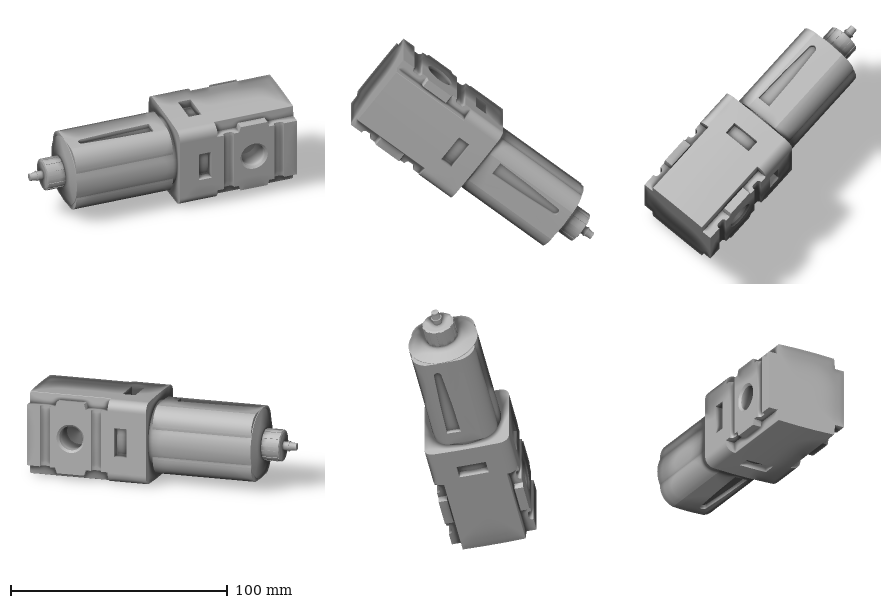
import cadquery as cq
import math


HOUSING_LENGTH = 57.9
WIDTH = 40.0
HALF_WIDTH = WIDTH / 2
CROWN_TOP = 20.0
CROWN_EDGE = 19.6
CORNER_X = 15.6
CORNER_Z = 14.9
CORNER_RADIUS = 4.6
BACK_LENGTH = 39.3
SHOULDER_Z = 14.5
CORE_BASE_X = 15.4
CORE_TOP_X = 14.9
CORE_EDGE_FILLET = 0.2

PORT_STATION = 21.2
PORT_DIAMETER = 11.5
PORT_MOUTH_DIAMETER = 13.5
PORT_CHAMFER = 1.0
PORT_DEPTH = 12.5
DRILL_POINT_ANGLE = 118.0
TONGUE_TIP_Z = 17.1
TONGUE_BASE_HALF = 7.5
TONGUE_TIP_HALF = 6.6
TONGUE_THICKNESS = 4.1
GROOVE_SPACING = 24.8
GROOVE_WIDTH = 4.9
GROOVE_DEPTH = 1.9
GROOVE_FILLET = 1.5

WINDOW_START = 42.3
WINDOW_END = 48.5
WINDOW_HALF = 7.0
WINDOW_FLOOR = 16.0
WINDOW_COUNT = 4

BOWL_RADIUS = 16.3
BOWL_START = 42.9
COLLAR_RADIUS = 17.1
SLEEVE_START = 59.5
SLEEVE_END = 107.3
BARREL_END = 107.6
CONE_END = 109.5
CONE_TIP_RADIUS = 7.9
SLEEVE_TOP_Z = 16.5
SLEEVE_EDGE_X = 8.1
SLEEVE_EDGE_Z = 16.2
SLEEVE_SIDE_X = 15.0
SLEEVE_SIDE_Z = 7.7
SLEEVE_CORNER_RADIUS = 9.0

SLOT_START = 66.0
SLOT_ROUND_STATION = 100.3
SLOT_AXIS_X = 4.1
SLOT_WIDE_HALF = 3.2
SLOT_TIP_RADIUS = 1.7
SLOT_BOW = 0.2
SLOT_FLOOR_Z = 14.2
SLOT_COUNT = 2

KNOB_END = 118.4
RIB_RADIUS = 7.5
KNOB_FACE_RADIUS = 6.4
KNOB_CORE_RADIUS = 7.2
KNOB_BEVEL = 0.4
RIB_COUNT = 12
NIPPLE_SHAFT_DIAMETER = 4.1
BARB_DIAMETER = 4.9
BARB_START = 121.0
BARB_END = 121.4
TIP_START = 123.7
TIP_DIAMETER = 3.5
OVERALL_LENGTH = 124.8


def section_plane(station):
    """Plane across the unit at a station; extruding runs towards the nipple."""
    return cq.Workplane("XZ", origin=(0, -station, 0))


def disc(start, end, radius):
    return section_plane(start).circle(radius).extrude(end - start)


def rotated_copies(shape, count):
    """Equally spaced copies around the long axis."""
    return [shape.rotate((0, 0, 0), (0, 1, 0), i * 360 / count) for i in range(count)]


def both_sides(shape):
    return [shape, shape.mirror("YZ")]


def crowned_outline(plane, edge_x, edge_z, top_z, side_x, side_z, radius):
    """Four-cornered outline with bulged top and bottom and rounded corners."""
    return (
        plane.moveTo(-edge_x, edge_z)
        .threePointArc((0, top_z), (edge_x, edge_z))
        .radiusArc((side_x, side_z), radius)
        .lineTo(side_x, -side_z)
        .radiusArc((edge_x, -edge_z), radius)
        .threePointArc((0, -top_z), (-edge_x, -edge_z))
        .radiusArc((-side_x, -side_z), radius)
        .lineTo(-side_x, side_z)
        .radiusArc((-edge_x, edge_z), radius)
        .close()
    )


def crowned_block(start, end):
    outline = crowned_outline(
        section_plane(start), CORNER_X, CROWN_EDGE, CROWN_TOP, HALF_WIDTH, CORNER_Z, CORNER_RADIUS,
    )
    return outline.extrude(end - start)


def housing_back_block():
    """Drafted core with soft long edges, on a wider flange that forms the shoulders."""
    draft_envelope = (
        section_plane(0)
        .polyline([
            (-CORE_TOP_X, CROWN_TOP),
            (CORE_TOP_X, CROWN_TOP),
            (CORE_BASE_X, SHOULDER_Z),
            (CORE_BASE_X, -SHOULDER_Z),
            (CORE_TOP_X, -CROWN_TOP),
            (-CORE_TOP_X, -CROWN_TOP),
            (-CORE_BASE_X, -SHOULDER_Z),
            (-CORE_BASE_X, SHOULDER_Z),
        ])
        .close()
        .extrude(BACK_LENGTH)
    )
    core = crowned_block(0, BACK_LENGTH).intersect(draft_envelope)
    for outermost in (">Z", "<Z"):
        core = core.edges("|Y").edges(outermost).fillet(CORE_EDGE_FILLET)
    flange = section_plane(0).rect(2 * HALF_WIDTH, 2 * SHOULDER_Z).extrude(BACK_LENGTH)
    return core.union(flange)


def tongue_plate():
    """Plate on the +X side whose tapered tongues stand above and below the shoulders."""
    upper = [
        (-PORT_STATION - TONGUE_BASE_HALF, SHOULDER_Z),
        (-PORT_STATION - TONGUE_TIP_HALF, TONGUE_TIP_Z),
        (-PORT_STATION + TONGUE_TIP_HALF, TONGUE_TIP_Z),
        (-PORT_STATION + TONGUE_BASE_HALF, SHOULDER_Z),
    ]
    lower = [(y, -z) for y, z in reversed(upper)]
    inner_face = cq.Workplane("YZ", origin=(HALF_WIDTH - TONGUE_THICKNESS, 0, 0))
    return inner_face.polyline(upper + lower).close().extrude(TONGUE_THICKNESS)


def clamp_groove(station):
    """Vertical groove in the +X face with rounded bottom edges."""
    return (
        cq.Workplane("XY")
        .box(2 * GROOVE_DEPTH, GROOVE_WIDTH, 2 * SHOULDER_Z)
        .edges("|Z and <X")
        .fillet(GROOVE_FILLET)
        .translate((HALF_WIDTH, -station, 0))
    )


def port():
    """Drilled port entering from the +X face, as a revolved cutter."""
    radius = PORT_DIAMETER / 2
    bottom_x = HALF_WIDTH - PORT_DEPTH
    point_x = bottom_x - radius / math.tan(math.radians(DRILL_POINT_ANGLE / 2))
    return (
        cq.Workplane("XY", origin=(0, -PORT_STATION, 0))
        .moveTo(point_x, 0)
        .lineTo(bottom_x, radius)
        .lineTo(HALF_WIDTH - PORT_CHAMFER, radius)
        .lineTo(HALF_WIDTH, PORT_MOUTH_DIAMETER / 2)
        .lineTo(HALF_WIDTH, 0)
        .close()
        .revolve(360, (0, 0, 0), (1, 0, 0))
    )


def window():
    """Rectangular opening in the top face, down to its flat floor."""
    return (
        cq.Workplane("XY", origin=(0, -(WINDOW_START + WINDOW_END) / 2, WINDOW_FLOOR))
        .rect(2 * WINDOW_HALF, WINDOW_END - WINDOW_START)
        .extrude(HALF_WIDTH)
    )


def make_housing():
    body = crowned_block(BACK_LENGTH, HOUSING_LENGTH).union(housing_back_block())
    for plate in both_sides(tongue_plate()):
        body = body.union(plate)
    for offset in (-GROOVE_SPACING / 2, GROOVE_SPACING / 2):
        for groove in both_sides(clamp_groove(PORT_STATION + offset)):
            body = body.cut(groove)
    for bore in both_sides(port()):
        body = body.cut(bore)
    for opening in rotated_copies(window(), WINDOW_COUNT):
        body = body.cut(opening)
    body = body.cut(disc(BOWL_START, WINDOW_END, COLLAR_RADIUS))
    return body.cut(disc(WINDOW_END, HOUSING_LENGTH, BOWL_RADIUS))


def bowl_round_body():
    """Locking collar, round barrel and conical end, revolved about the long axis."""
    return (
        cq.Workplane("XY")
        .moveTo(0, -BOWL_START)
        .lineTo(COLLAR_RADIUS, -BOWL_START)
        .lineTo(COLLAR_RADIUS, -WINDOW_END)
        .lineTo(BOWL_RADIUS, -WINDOW_END)
        .lineTo(BOWL_RADIUS, -BARREL_END)
        .lineTo(CONE_TIP_RADIUS, -CONE_END)
        .lineTo(0, -CONE_END)
        .close()
        .revolve(360, (0, 0, 0), (0, 1, 0))
    )


def bowl_sleeve():
    outline = crowned_outline(
        section_plane(SLEEVE_START), SLEEVE_EDGE_X, SLEEVE_EDGE_Z, SLEEVE_TOP_Z,
        SLEEVE_SIDE_X, SLEEVE_SIDE_Z, SLEEVE_CORNER_RADIUS,
    )
    return outline.extrude(SLEEVE_END - SLEEVE_START)


def sleeve_slot():
    middle_y = -(SLOT_START + SLOT_ROUND_STATION) / 2
    middle_half = (SLOT_WIDE_HALF + SLOT_TIP_RADIUS) / 2 + SLOT_BOW
    return (
        cq.Workplane("XY", origin=(SLOT_AXIS_X, 0, SLOT_FLOOR_Z))
        .moveTo(-SLOT_WIDE_HALF, -SLOT_START)
        .lineTo(SLOT_WIDE_HALF, -SLOT_START)
        .threePointArc((middle_half, middle_y), (SLOT_TIP_RADIUS, -SLOT_ROUND_STATION))
        .radiusArc((-SLOT_TIP_RADIUS, -SLOT_ROUND_STATION), SLOT_TIP_RADIUS)
        .threePointArc((-middle_half, middle_y), (-SLOT_WIDE_HALF, -SLOT_START))
        .close()
        .extrude(2 * (SLEEVE_TOP_Z - SLOT_FLOOR_Z))
    )


def make_bowl():
    body = bowl_round_body().union(bowl_sleeve())
    for slot in rotated_copies(sleeve_slot(), SLOT_COUNT):
        body = body.cut(slot)
    return body


def knob_blank():
    """Knob before fluting, bevelled at both ends."""
    return (
        cq.Workplane("XY")
        .moveTo(0, -CONE_END)
        .lineTo(KNOB_FACE_RADIUS, -CONE_END)
        .lineTo(RIB_RADIUS, -CONE_END - KNOB_BEVEL)
        .lineTo(RIB_RADIUS, -KNOB_END + KNOB_BEVEL)
        .lineTo(KNOB_FACE_RADIUS, -KNOB_END)
        .lineTo(0, -KNOB_END)
        .close()
        .revolve(360, (0, 0, 0), (0, 1, 0))
    )


def knob_flutes():
    """Ring sectors between the ribs; flutes and ribs are equally wide."""
    flute_angle = 360 / (2 * RIB_COUNT)
    half_angle = math.radians(flute_angle / 2)
    reach = 2 * RIB_RADIUS
    sector = (
        section_plane(CONE_END)
        .polyline([
            (0, 0),
            (reach * math.sin(half_angle), reach * math.cos(half_angle)),
            (-reach * math.sin(half_angle), reach * math.cos(half_angle)),
        ])
        .close()
        .extrude(KNOB_END - CONE_END)
        .cut(disc(CONE_END, KNOB_END, KNOB_CORE_RADIUS))
    )
    return rotated_copies(sector, RIB_COUNT)


def nipple():
    """Hose nipple with one barb and a tapering end."""
    shaft_radius = NIPPLE_SHAFT_DIAMETER / 2
    barb_radius = BARB_DIAMETER / 2
    tip_radius = TIP_DIAMETER / 2
    return (
        cq.Workplane("XY")
        .moveTo(0, -KNOB_END)
        .lineTo(shaft_radius, -KNOB_END)
        .lineTo(shaft_radius, -BARB_START)
        .lineTo(barb_radius, -BARB_START)
        .lineTo(barb_radius, -BARB_END)
        .lineTo(shaft_radius, -BARB_END)
        .lineTo(tip_radius, -TIP_START)
        .lineTo(tip_radius, -OVERALL_LENGTH)
        .lineTo(0, -OVERALL_LENGTH)
        .close()
        .revolve(360, (0, 0, 0), (0, 1, 0))
    )


def make_drain_valve():
    body = knob_blank()
    for flute in knob_flutes():
        body = body.cut(flute)
    return body.union(nipple())


housing = make_housing().solids()
bowl = make_bowl().solids()
drain_valve = make_drain_valve().solids()

result = cq.Compound.makeCompound([housing.val(), bowl.val(), drain_valve.val()])